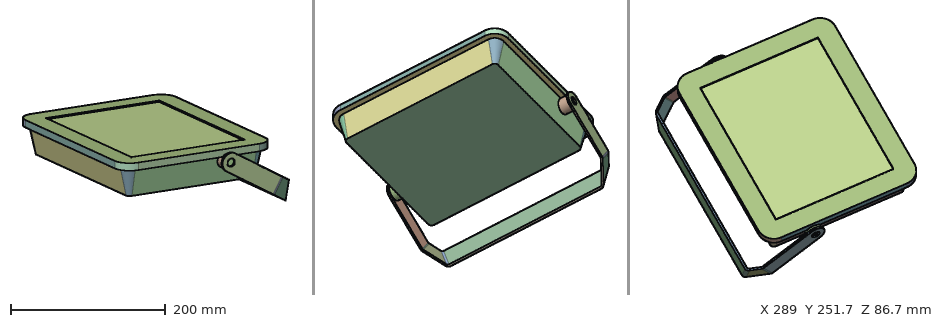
import cadquery as cq
import math

rim_length = 274.3
rim_width = 225.0
rim_thickness = 10.0
rim_corner_radius = 22.0
housing_height = 48.8
tub_top_inset = 7.8
tub_bottom_inset = 16.5

window_length = 219.5
window_width = 169.5
window_depth = 2.0

pivot_y = 44.5
pivot_z = -17.0
boss_diameter = 22.0

bracket_length = 289.0
bracket_back_y = 251.7 - rim_width / 2
bracket_thickness = 3.0
inner_bend_radius = 3.0
outer_bend_radius = inner_bend_radius + bracket_thickness
arm_width = 26.0
arm_slope = 30.0
corner_angle = 30.0
bend_distance = 81.0
pivot_hole_diameter = 11.0

arm_inner_x = bracket_length / 2 - bracket_thickness
arm_end_radius = arm_width / 2


def make_tub():
    """Tub whose walls and corner radii shrink evenly towards the floor."""
    tub_height = housing_height - rim_thickness
    taper = math.degrees(math.atan((tub_bottom_inset - tub_top_inset) / tub_height))
    outline = cq.Sketch().rect(rim_length - 2 * tub_top_inset, rim_width - 2 * tub_top_inset)
    outline = outline.vertices().fillet(rim_corner_radius - tub_top_inset)
    return (
        cq.Workplane("XY", origin=(0, 0, -rim_thickness))
        .placeSketch(outline)
        .extrude(-tub_height, taper=taper)
    )


def make_boss(side):
    """Round boss from inside the tub wall out to the bracket arm; side is -1 or 1."""
    boss_root_x = rim_length / 2 - tub_bottom_inset - boss_diameter / 2
    return (
        cq.Workplane("YZ", origin=(side * boss_root_x, pivot_y, pivot_z))
        .circle(boss_diameter / 2)
        .extrude(side * (arm_inner_x - boss_root_x))
    )


def make_housing():
    rim = (
        cq.Workplane("XY")
        .rect(rim_length, rim_width)
        .extrude(-rim_thickness)
        .edges("|Z")
        .fillet(rim_corner_radius)
    )
    housing = rim.union(make_tub())
    for side in (-1, 1):
        housing = housing.union(make_boss(side))
    window = cq.Workplane("XY").rect(window_length, window_width).extrude(-window_depth)
    return housing.cut(window)


def bracket_envelope(half_length, bend, back_y, bend_radius):
    """Solid block with sloping corner faces, an upright back at back_y and rounded bends.

    The block is drawn along the arm, with the pivot at its origin, then tilted.
    """
    reach = 2 * bracket_back_y
    corner_inset = (reach - bend) * math.tan(math.radians(corner_angle))
    block = (
        cq.Workplane("XY")
        .polyline([
            (-half_length, -arm_width),
            (half_length, -arm_width),
            (half_length, bend),
            (half_length - corner_inset, reach),
            (corner_inset - half_length, reach),
            (-half_length, bend),
        ])
        .close()
        .extrude(arm_width, both=True)
        .edges(cq.selectors.BoxSelector(
            (-bracket_length, bend - arm_end_radius, -arm_width),
            (bracket_length, bend + arm_end_radius, arm_width),
        ))
        .edges("|Z")
        .fillet(bend_radius)
        .rotate((0, 0, 0), (1, 0, 0), -arm_slope)
        .translate((0, pivot_y, pivot_z))
    )
    front_side = cq.Workplane("XY").box(
        2 * bracket_length, 2 * reach, 2 * reach
    ).translate((0, back_y - reach, 0))
    envelope = block.intersect(front_side)
    corner_edges = envelope.faces(">Y").edges("not(|X)")
    return corner_edges.fillet(bend_radius)


def arm_profile():
    """Rounded-end strip that trims both arms to a full radius about the pivot."""
    reach = 2 * bracket_back_y
    return (
        cq.Workplane("YZ")
        .moveTo(reach, arm_end_radius)
        .lineTo(0, arm_end_radius)
        .threePointArc((-arm_end_radius, 0), (0, -arm_end_radius))
        .lineTo(reach, -arm_end_radius)
        .close()
        .extrude(bracket_length, both=True)
        .rotate((0, 0, 0), (1, 0, 0), -arm_slope)
        .translate((0, pivot_y, pivot_z))
    )


def make_bracket():
    inner_bend = bend_distance - bracket_thickness * math.tan(math.radians(corner_angle / 2))
    outer = bracket_envelope(bracket_length / 2, bend_distance, bracket_back_y, outer_bend_radius)
    inner_back_y = bracket_back_y - bracket_thickness
    inner = bracket_envelope(arm_inner_x, inner_bend, inner_back_y, inner_bend_radius)
    pivot_holes = (
        cq.Workplane("YZ", origin=(0, pivot_y, pivot_z))
        .circle(pivot_hole_diameter / 2)
        .extrude(bracket_length, both=True)
    )
    return outer.cut(inner).intersect(arm_profile()).cut(pivot_holes)


housing = make_housing()
bracket = make_bracket()
result = cq.Compound.makeCompound([housing.val(), bracket.val()])